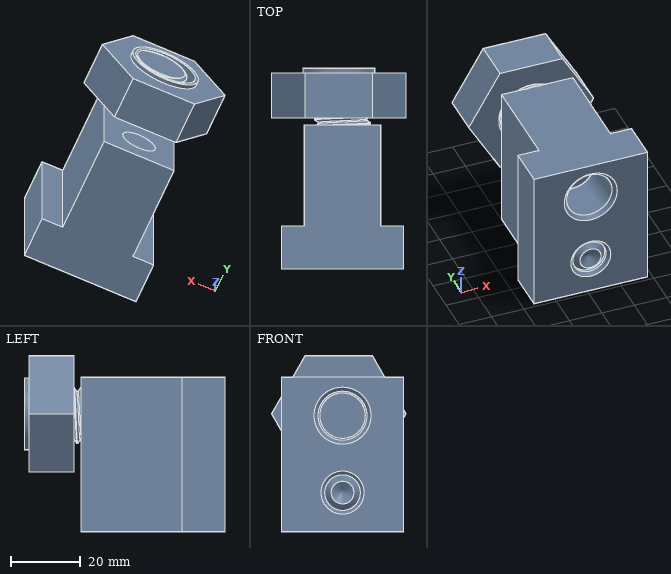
import cadquery as cq
import math

total_depth = 57.48
total_height = 50.45

block_width = 35.0
block_height = 44.3
block_depth = 41.3
flange_depth = 12.4
stem_width = 22.0

stud_z = 33.25
stud_hole_diameter = 14.0
stud_hole_mouth = 16.3
screw_z = 11.25
screw_hole_diameter = 10.2
screw_hole_mouth = 12.3

thread_diameter = 16.0
thread_pitch = 2.0
thread_crest = thread_pitch / 8
thread_root = thread_pitch * 7 / 8
stud_end_y = 14.0
stud_end_diameter = 13.0
ridge_start_y = block_depth
ridge_overlap = 0.1
ridge_lead_in = 1.5

nut_across_corners = 38.49
nut_across_flats = nut_across_corners * math.cos(math.pi / 6)
nut_x = -1.08
nut_z = total_height - nut_across_flats / 2
nut_front_y = 43.2
collar_height = 1.3
collar_diameter = 20.6
nut_bore_diameter = 18.6
nut_bore_mouth = 20.0
nut_back_y = total_depth - collar_height

screw_tip_y = 0.2
screw_cup_diameter = 6.5
screw_cup_depth = 1.9
screw_taper_length = 1.75


def cylinder_y(diameter, start_y, end_y, x, z):
    """Cylinder along +Y from start_y to end_y."""
    plane = cq.Workplane("XZ", origin=(x, start_y, z))
    return plane.circle(diameter / 2).extrude(start_y - end_y)


def revolve_about_y(profile, z):
    """Turned solid on the axis X = 0 at height z, from (radius, y) points."""
    plane = cq.Workplane("XY", origin=(0, 0, z))
    return plane.polyline(profile).close().revolve(360, (0, 0, 0), (0, 1, 0))


def chamfered_hole(diameter, mouth, z):
    """Through hole with a 45 degree chamfer at the front face."""
    chamfer = (mouth - diameter) / 2
    return revolve_about_y(
        [
            (0, 0),
            (mouth / 2, 0),
            (diameter / 2, chamfer),
            (diameter / 2, block_depth),
            (0, block_depth),
        ],
        z,
    )


def make_block():
    flange = cq.Workplane("XY").box(block_width, flange_depth, block_height, centered=(True, False, False))
    stem = cq.Workplane("XY").box(stem_width, block_depth, block_height, centered=(True, False, False))
    body = flange.union(stem)
    body = body.cut(chamfered_hole(stud_hole_diameter, stud_hole_mouth, stud_z))
    return body.cut(chamfered_hole(screw_hole_diameter, screw_hole_mouth, screw_z))


def make_stud():
    core_radius = stud_hole_diameter / 2
    end_chamfer = (stud_hole_diameter - stud_end_diameter) / 2
    core = revolve_about_y(
        [
            (0, stud_end_y),
            (stud_end_diameter / 2, stud_end_y),
            (core_radius, stud_end_y + end_chamfer),
            (core_radius, total_depth),
            (0, total_depth),
        ],
        stud_z,
    )
    inner = core_radius - ridge_overlap
    ridge_length = total_depth - ridge_start_y + ridge_lead_in + thread_pitch
    helix = cq.Wire.makeHelix(thread_pitch, ridge_length, core_radius)
    ridge = (
        cq.Workplane("XZ")
        .polyline(
            [
                (inner, -thread_root / 2),
                (thread_diameter / 2, -thread_crest / 2),
                (thread_diameter / 2, thread_crest / 2),
                (inner, thread_root / 2),
            ]
        )
        .close()
        .sweep(cq.Workplane(obj=helix), isFrenet=True)
    )
    ridge = ridge.rotate((0, 0, 0), (1, 0, 0), -90)
    ridge = ridge.translate((0, ridge_start_y - ridge_lead_in, stud_z))
    exposed = cylinder_y(2 * thread_diameter, ridge_start_y, total_depth, 0, stud_z)
    return core.union(ridge.intersect(exposed))


def make_nut():
    hexagon = (
        cq.Workplane("XZ", origin=(nut_x, nut_front_y, nut_z))
        .polygon(6, nut_across_corners)
        .extrude(nut_front_y - nut_back_y)
    )
    collar = cylinder_y(collar_diameter, nut_back_y, total_depth, nut_x, nut_z)
    bore = cylinder_y(nut_bore_diameter, nut_front_y, total_depth, nut_x, nut_z)
    body = hexagon.union(collar).cut(bore)
    countersink = (nut_bore_mouth - nut_bore_diameter) / 2
    return body.faces("<Y").edges("%CIRCLE").chamfer(countersink)


def make_set_screw():
    radius = screw_hole_diameter / 2
    return revolve_about_y(
        [
            (0, screw_tip_y + screw_cup_depth),
            (screw_cup_diameter / 2, screw_tip_y),
            (radius, screw_tip_y + screw_taper_length),
            (radius, block_depth),
            (0, block_depth),
        ],
        screw_z,
    )


block = make_block()
stud = make_stud()
nut = make_nut()
set_screw = make_set_screw()

result = cq.Compound.makeCompound([block.val(), stud.val(), nut.val(), set_screw.val()])